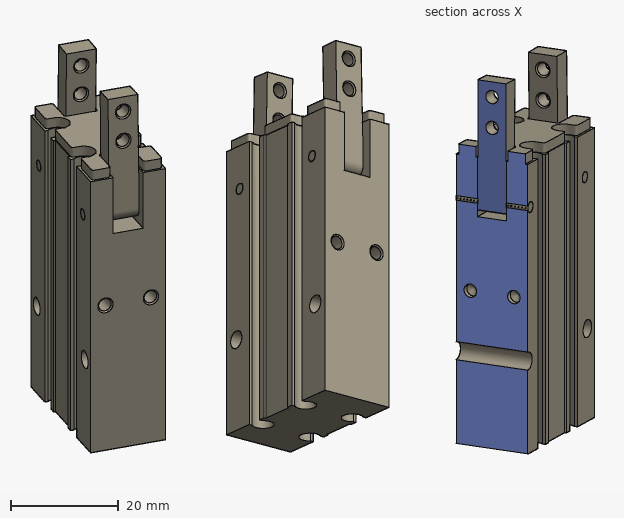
import cadquery as cq
import math

LENGTH_X = 30.0
WIDTH_Y = 15.0
HEIGHT_Z = 71.05

HOUSING_TOP = 56.05
CAP_HEIGHT = 2.0
CAP_INSET = 0.5
CAP_CORNER_RADIUS = 0.5

GROOVE_X = 6.5
GROOVE_Y = 5.5
GROOVE_DIAMETER = 4.1
GROOVE_MOUTH = 3.05
CAP_GROOVE_WIDTH = 4.55

PANEL_FACE_WIDTH = 7.25
PANEL_FLOOR_WIDTH = 6.8
PANEL_DEPTH = 0.35

FINGER_WIDTH = 6.0
SLOT_FLOOR = 44.55
CAP_NOTCH_WIDTH = 6.6
CAP_NOTCH_END_X = 8.5

MOUNT_HOLE_DIAMETER = 3.4
MOUNT_HOLE_X = 12.0
MOUNT_HOLE_Z = 18.0

TAP_DIAMETER = 2.5
TAP_CHAMFER = 0.3
SIDE_TAP_Y = 4.55
SIDE_TAP_Z = 30.0
SIDE_TAP_DEPTH = 4.0
DRILL_POINT_ANGLE = 118.0

FINGER_THICKNESS = 4.0
FINGER_TILT = 1.5
PIVOT_X = 11.0
PIVOT_Z = 47.5
PIN_DIAMETER = 2.0
PIN_HOLE_DIAMETER = 2.1
FINGER_TAP_FROM_TIP = 3.0
FINGER_TAP_PITCH = 6.0

SIDES = (-1, 1)
CORNERS = [(sx, sy) for sx in SIDES for sy in SIDES]


def block(x0, x1, y0, y1, z0, z1):
    """Box between two opposite corners."""
    return cq.Workplane("XY").box(x1 - x0, y1 - y0, z1 - z0, centered=False).translate((x0, y0, z0))


def y_cylinder(diameter, x, z):
    """Cylinder along Y over the full housing width."""
    return cq.Workplane("XZ").center(x, z).circle(diameter / 2).extrude(WIDTH_Y / 2, both=True)


def groove_cutter(x, side):
    """Round groove and its straight mouth over the housing height."""
    round_part = cq.Workplane("XY").center(x, side * GROOVE_Y).circle(GROOVE_DIAMETER / 2).extrude(HOUSING_TOP)
    mouth_length = WIDTH_Y / 2 - GROOVE_Y
    mouth_y = side * (GROOVE_Y + mouth_length / 2)
    mouth = cq.Workplane("XY").center(x, mouth_y).rect(GROOVE_MOUTH, mouth_length).extrude(HOUSING_TOP)
    return round_part.union(mouth)


def panel_cutter(side):
    """Shallow trapezoidal recess in the middle of a front or back face."""
    face_y = side * WIDTH_Y / 2
    floor_y = face_y - side * PANEL_DEPTH
    outline = [
        (-PANEL_FACE_WIDTH / 2, face_y),
        (-PANEL_FLOOR_WIDTH / 2, floor_y),
        (PANEL_FLOOR_WIDTH / 2, floor_y),
        (PANEL_FACE_WIDTH / 2, face_y),
    ]
    return cq.Workplane("XY").polyline(outline).close().extrude(HOUSING_TOP)


def side_tap_cutter(side, y):
    """Blind hole from an end face, with an entry chamfer and a drill point."""
    radius = TAP_DIAMETER / 2
    point_length = radius / math.tan(math.radians(DRILL_POINT_ANGLE / 2))
    profile = [
        (0, 0),
        (0, radius + TAP_CHAMFER),
        (TAP_CHAMFER, radius),
        (SIDE_TAP_DEPTH, radius),
        (SIDE_TAP_DEPTH + point_length, 0),
    ]
    cutter = cq.Workplane("XY").polyline(profile).close().revolve(360, (0, 0, 0), (1, 0, 0))
    if side > 0:
        cutter = cutter.mirror("YZ")
    return cutter.translate((side * LENGTH_X / 2, y, SIDE_TAP_Z))


def make_cap():
    """Raised plate with grooves in front and back, finger notches at the ends and rounded corners."""
    half_x = LENGTH_X / 2 - CAP_INSET
    half_y = WIDTH_Y / 2 - CAP_INSET
    cap_top = HOUSING_TOP + CAP_HEIGHT
    cap = block(-half_x, half_x, -half_y, half_y, HOUSING_TOP, cap_top)
    notch_half = CAP_NOTCH_WIDTH / 2
    for side in SIDES:
        inner, outer = sorted((side * CAP_NOTCH_END_X, side * LENGTH_X / 2))
        cap = cap.cut(block(inner, outer, -notch_half, notch_half, HOUSING_TOP, cap_top))
    for sx, sy in CORNERS:
        slot = (
            cq.Workplane("XY", origin=(sx * GROOVE_X, sy * WIDTH_Y / 2, HOUSING_TOP))
            .slot2D(2 * (WIDTH_Y / 2 - GROOVE_Y) + CAP_GROOVE_WIDTH, CAP_GROOVE_WIDTH, 90)
            .extrude(CAP_HEIGHT)
        )
        cap = cap.cut(slot)

    rounded_x = (half_x, GROOVE_X + CAP_GROOVE_WIDTH / 2, GROOVE_X - CAP_GROOVE_WIDTH / 2)
    corner_points = [(x, half_y) for x in rounded_x]
    corner_points += [(half_x, notch_half), (CAP_NOTCH_END_X, notch_half)]
    mid_z = HOUSING_TOP + CAP_HEIGHT / 2
    for x, y in corner_points:
        for sx, sy in CORNERS:
            corner = cq.selectors.NearestToPointSelector((sx * x, sy * y, mid_z))
            cap = cap.edges("|Z").edges(corner).fillet(CAP_CORNER_RADIUS)
    return cap


def make_housing():
    """Housing block with its cap, grooves, finger slot and holes."""
    half_x = LENGTH_X / 2
    half_y = WIDTH_Y / 2
    housing = block(-half_x, half_x, -half_y, half_y, 0, HOUSING_TOP)
    for sx, sy in CORNERS:
        housing = housing.cut(groove_cutter(sx * GROOVE_X, sy))
        housing = housing.cut(side_tap_cutter(sx, sy * SIDE_TAP_Y))
    for side in SIDES:
        housing = housing.cut(panel_cutter(side))
        housing = housing.cut(y_cylinder(MOUNT_HOLE_DIAMETER, side * MOUNT_HOLE_X, MOUNT_HOLE_Z))
        housing = housing.cut(y_cylinder(PIN_HOLE_DIAMETER, side * PIVOT_X, PIVOT_Z))
    housing = housing.cut(block(-half_x, half_x, -FINGER_WIDTH / 2, FINGER_WIDTH / 2, SLOT_FLOOR, HOUSING_TOP))
    return housing.union(make_cap())


def make_finger(side):
    """Finger bar with a round pivot end, its pivot pin and two through holes."""
    half = FINGER_THICKNESS / 2
    tilt = math.radians(FINGER_TILT)
    length = (HEIGHT_Z - PIVOT_Z - half * math.sin(tilt)) / math.cos(tilt)
    bar = (
        cq.Workplane("XZ")
        .moveTo(-half, length)
        .lineTo(-half, 0)
        .threePointArc((0, -half), (half, 0))
        .lineTo(half, length)
        .close()
        .extrude(FINGER_WIDTH / 2, both=True)
    )
    first_hole = length - FINGER_TAP_FROM_TIP
    holes = (
        cq.Workplane("YZ")
        .pushPoints([(0, first_hole), (0, first_hole - FINGER_TAP_PITCH)])
        .circle(TAP_DIAMETER / 2)
        .extrude(half, both=True)
    )
    bar = bar.cut(holes)
    bar = bar.faces("<X or >X").edges("%CIRCLE").chamfer(TAP_CHAMFER)
    finger = bar.union(y_cylinder(PIN_DIAMETER, 0, 0))
    finger = finger.rotate((0, 0, 0), (0, 1, 0), -side * FINGER_TILT)
    return finger.translate((side * PIVOT_X, 0, PIVOT_Z))


housing = make_housing()
fingers = [make_finger(side) for side in SIDES]

result = cq.Compound.makeCompound([housing.val(), *[finger.val() for finger in fingers]])